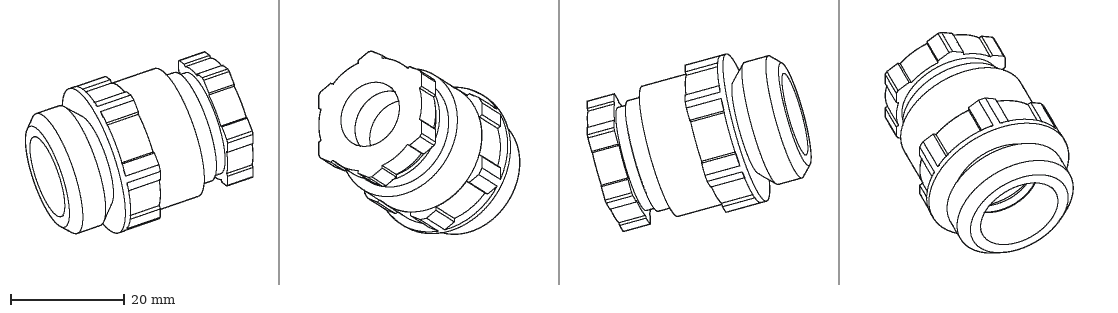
import cadquery as cq
import math


bevel_end_y = 1.8
nose_rim_y = 6.22
lip_start_y = 7.73
flange_y = 9.0
nose_seat_y = 9.28
ribs_start_y = 10.0
ribs_end_y = 16.48
body_end_y = 25.02
collar_end_y = 28.18
nut_start_y = 30.2
total_length = 35.15

nose_radius = 11.2
nose_neck_radius = nose_radius - (flange_y - nose_rim_y)
flange_radius = 13.5
body_ring_radius = 11.95
collar_radius = 10.15
neck_radius = 9.45
nut_corner_radius = 11.95

nose_mouth_radius = 7.45
nose_taper_end_radius = 6.95
throat_radius = 6.78
chamber_radius = 8.75
sleeve_bore_radius = 5.97

body_across_flats = 24.0
body_rib_width = 5.2
nut_across_flats = 21.0
nut_rib_width = 4.92

CORNER_COUNT = 6
FIRST_CORNER_ANGLE = 30


def revolve_profile(points):
    """Solid of revolution about the Y axis from (radius, y) points."""
    return cq.Workplane("XY").polyline(points).close().revolve(360, (0, 0, 0), (0, 1, 0))


def section_at(y):
    """Workplane across the axis at y, extruding toward +Y."""
    return cq.Workplane(cq.Plane(origin=(0, y, 0), xDir=(-1, 0, 0), normal=(0, 1, 0)))


def cylinder(radius, start_y, end_y):
    return section_at(start_y).circle(radius).extrude(end_y - start_y)


def ribbed_hexagon(across_flats, corner_radius, rib_width, start_y, end_y):
    """Round core touching the flats of a hexagon, with a parallel-sided rib at each rounded corner."""
    length = end_y - start_y
    sharp_diameter = across_flats / math.cos(math.pi / CORNER_COUNT)
    hexagon = (
        section_at(start_y)
        .transformed(rotate=(0, 0, FIRST_CORNER_ANGLE))
        .polygon(CORNER_COUNT, sharp_diameter)
        .extrude(length)
        .intersect(cylinder(corner_radius, start_y, end_y))
    )
    shape = cylinder(across_flats / 2, start_y, end_y)
    for bar in range(CORNER_COUNT // 2):
        angle = FIRST_CORNER_ANGLE + bar * 360 / CORNER_COUNT
        rib_bar = (
            section_at(start_y)
            .transformed(rotate=(0, 0, angle))
            .rect(2 * sharp_diameter, rib_width)
            .extrude(length)
        )
        shape = shape.union(hexagon.intersect(rib_bar))
    return shape


def make_nose():
    """Nose ring: 45 degree bevels outside, a tapered bore ending at a lip, and a short neck behind."""
    front_radius = nose_radius - bevel_end_y
    return revolve_profile([
        (nose_mouth_radius, 0),
        (front_radius, 0),
        (nose_radius, bevel_end_y),
        (nose_radius, nose_rim_y),
        (nose_neck_radius, flange_y),
        (nose_neck_radius, nose_seat_y),
        (throat_radius, nose_seat_y),
        (throat_radius, lip_start_y),
        (nose_taper_end_radius, lip_start_y),
    ])


def make_body():
    """Flange, six wrench ribs and plain ring, with a seat for the nose and a chamber behind it."""
    flange = cylinder(flange_radius, flange_y, ribs_start_y)
    ribs = ribbed_hexagon(body_across_flats, flange_radius, body_rib_width, ribs_start_y, ribs_end_y)
    ring = cylinder(body_ring_radius, ribs_end_y, body_end_y)
    chamber_start_y = nose_seat_y + chamber_radius - throat_radius
    cavity = revolve_profile([
        (0, flange_y),
        (nose_neck_radius, flange_y),
        (nose_neck_radius, nose_seat_y),
        (throat_radius, nose_seat_y),
        (chamber_radius, chamber_start_y),
        (chamber_radius, body_end_y),
        (0, body_end_y),
    ])
    return flange.union(ribs).union(ring).cut(cavity)


def make_sleeve():
    """Bored collar with a slightly smaller neck toward the nut."""
    return revolve_profile([
        (sleeve_bore_radius, body_end_y),
        (collar_radius, body_end_y),
        (collar_radius, collar_end_y),
        (neck_radius, collar_end_y),
        (neck_radius, nut_start_y),
        (sleeve_bore_radius, nut_start_y),
    ])


def make_nut():
    """Nut with six corner ribs and the same bore as the sleeve."""
    blank = ribbed_hexagon(nut_across_flats, nut_corner_radius, nut_rib_width, nut_start_y, total_length)
    return blank.cut(cylinder(sleeve_bore_radius, nut_start_y, total_length))


nose = make_nose()
body = make_body()
sleeve = make_sleeve()
nut = make_nut()

result = cq.Compound.makeCompound([nose.val(), body.val(), sleeve.val(), nut.val()])